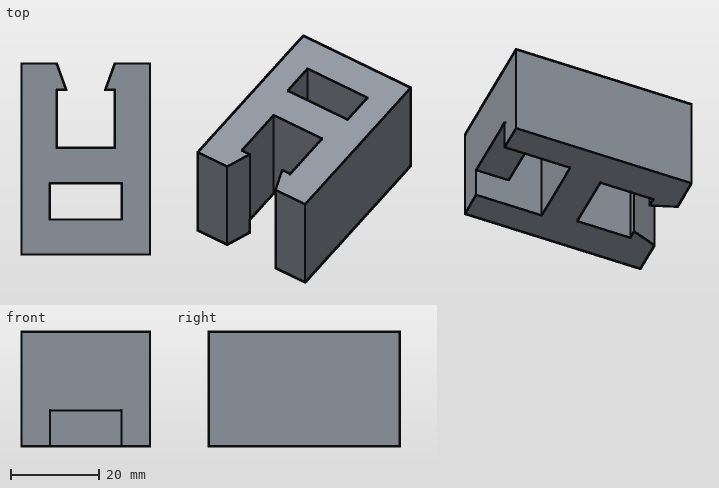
import cadquery as cq

width = 29.25
length = 43.4
height = 26.0

channel_width = 16.3
channel_thickness = 8.15
channel_end = 16.2

slot_width = 13.15
slot_depth = 19.1
barb_length = 6.0
barb_reach = 2.15


def channel():
    profile = [
        (0, 0),
        (channel_end, 0),
        (channel_end, height),
        (channel_end - channel_thickness, height),
        (channel_end - channel_thickness, channel_thickness),
        (0, channel_thickness),
    ]
    return cq.Workplane("YZ").polyline(profile).close().extrude(channel_width / 2, both=True)


def clip_slot():
    half_slot = slot_width / 2
    half_throat = half_slot - barb_reach
    slot_floor = length - slot_depth
    barb_shoulder = length - barb_length
    right_side = [
        (half_slot, slot_floor),
        (half_slot, barb_shoulder),
        (half_throat, barb_shoulder),
        (half_slot, length),
    ]
    left_side = [(-x, y) for x, y in reversed(right_side)]
    return cq.Workplane("XY").polyline(right_side + left_side).close().extrude(height)


block = cq.Workplane("XY").box(width, length, height, centered=(True, False, False))
result = block.cut(channel()).cut(clip_slot())